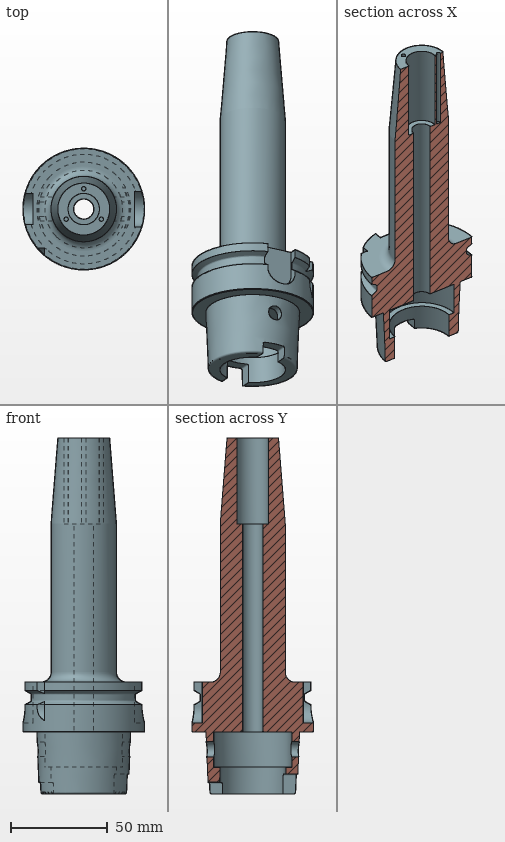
import cadquery as cq
import math

total_height = 184.4
shank_height = 32.0
flange_top = 58.0
nose_height = 44.5

shank_end_radius = 23.0
shank_root_radius = 24.3
shank_end_fillet = 1.1
cavity_mouth_radius = 17.0
cavity_mouth_height = 14.0
cavity_radius = 20.1

flange_radius = 31.5
flange_chamfer = 0.4
groove_floor_radius = 28.4
groove_bottom = 46.3
groove_top = 53.7
groove_flank_angle = 30.0
groove_floor_fillet = 0.65

body_radius = 17.0
nose_tip_radius = 13.5
neck_fillet = 5.0

tool_bore_radius = 8.1
tool_bore_depth = nose_height
through_bore_radius = 5.2
coolant_count = 3
coolant_circle_radius = 10.5
coolant_diameter = 2.2
coolant_depth = tool_bore_depth

slot_floor_distance = 26.2
narrow_slot_width = 16.2
wide_slot_width = 18.5
slot_bottom = 36.9
notch_corner = 20.3

drive_slot_width = 12.5
drive_slot_fillet = 1.0
shallow_drive_depth = 6.0
deep_drive_depth = 10.3
cross_hole_diameter = 7.5
cross_hole_height = 23.2


def circles_of_radius(solid, radius):
    """Circular edges of a turned solid that have the given radius."""
    circles = solid.edges("%CIRCLE").vals()
    return [edge for edge in circles if math.isclose(edge.radius(), radius, abs_tol=0.0002)]


def make_body():
    """Turned outline, revolved about Z."""
    flank_rise = (flange_radius - groove_floor_radius) * math.tan(math.radians(groove_flank_angle))
    outline = (
        cq.Workplane("XZ")
        .lineTo(shank_end_radius, 0)
        .lineTo(shank_root_radius, shank_height)
        .lineTo(flange_radius - flange_chamfer, shank_height)
        .lineTo(flange_radius, shank_height + flange_chamfer)
        .lineTo(flange_radius, groove_bottom)
        .lineTo(groove_floor_radius, groove_bottom + flank_rise)
        .lineTo(groove_floor_radius, groove_top - flank_rise)
        .lineTo(flange_radius, groove_top)
        .lineTo(flange_radius, flange_top)
        .lineTo(body_radius + neck_fillet, flange_top)
        .radiusArc((body_radius, flange_top + neck_fillet), neck_fillet)
        .lineTo(body_radius, total_height - nose_height)
        .lineTo(nose_tip_radius, total_height)
        .lineTo(0, total_height)
        .close()
    )
    body = outline.revolve(360, (0, 0, 0), (0, 1, 0))
    body = body.newObject(circles_of_radius(body, groove_floor_radius)).fillet(groove_floor_fillet)
    return body.newObject(circles_of_radius(body, shank_end_radius)).fillet(shank_end_fillet)


def cylinder(radius, bottom, height):
    """Upright cylinder on the axis."""
    return cq.Workplane("XY").workplane(offset=bottom).circle(radius).extrude(height)


def make_cavity():
    """Hollow of the shank, wider above its mouth."""
    mouth = cylinder(cavity_mouth_radius, 0, cavity_mouth_height)
    chamber = cylinder(cavity_radius, cavity_mouth_height, shank_height - cavity_mouth_height)
    return mouth.union(chamber)


def make_coolant_holes():
    """Blind holes spread evenly around the tool bore."""
    return (
        cq.Workplane("XY")
        .workplane(offset=total_height - coolant_depth)
        .polarArray(coolant_circle_radius, 90, 360, coolant_count)
        .circle(coolant_diameter / 2)
        .extrude(coolant_depth)
    )


def flange_slot(width, floor_x, side, middle_y=0.0):
    """Slot open at the flange top, round at the bottom, cut outward along X from floor_x."""
    radius = width / 2
    arc_center = slot_bottom + radius
    return (
        cq.Workplane("YZ", origin=(floor_x, middle_y, 0))
        .moveTo(-radius, flange_top)
        .lineTo(-radius, arc_center)
        .threePointArc((0, slot_bottom), (radius, arc_center))
        .lineTo(radius, flange_top)
        .close()
        .extrude(side * flange_radius)
    )


def drive_slot(depth, side):
    """Slot across the shank wall, open at the shank end."""
    return (
        cq.Workplane("YZ", origin=(0, 0, depth / 2))
        .rect(drive_slot_width, depth)
        .extrude(side * flange_radius)
        .edges("|X and >Z")
        .fillet(drive_slot_fillet)
    )


result = make_body()

result = result.cut(make_cavity())
result = result.cut(cylinder(through_bore_radius, 0, total_height))
result = result.cut(cylinder(tool_bore_radius, total_height - tool_bore_depth, tool_bore_depth))
result = result.cut(make_coolant_holes())

result = result.cut(flange_slot(narrow_slot_width, -slot_floor_distance, -1))
result = result.cut(flange_slot(wide_slot_width, slot_floor_distance, 1))
notch_middle = -notch_corner - narrow_slot_width / 2
result = result.cut(flange_slot(narrow_slot_width, -notch_corner, -1, notch_middle))

result = result.cut(drive_slot(shallow_drive_depth, -1))
result = result.cut(drive_slot(deep_drive_depth, 1))
cross_hole = (
    cq.Workplane("YZ", origin=(0, 0, cross_hole_height))
    .circle(cross_hole_diameter / 2)
    .extrude(flange_radius, both=True)
)
result = result.cut(cross_hole)